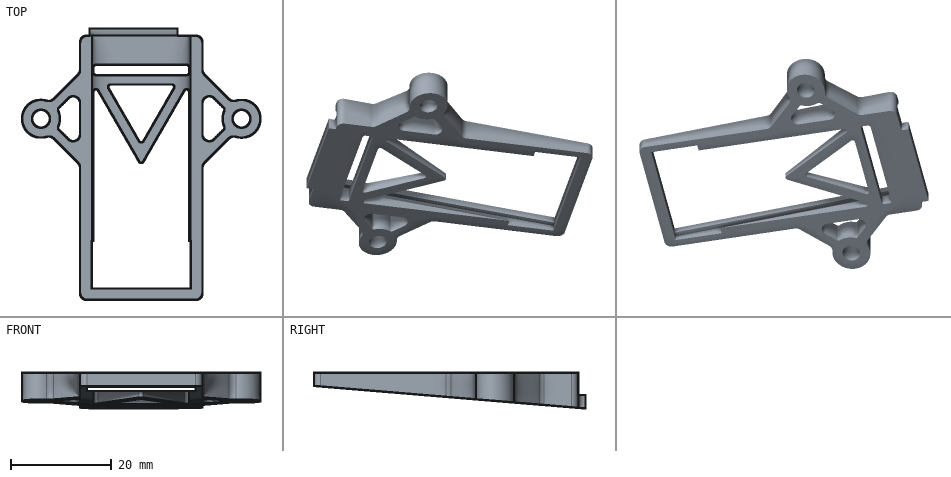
import cadquery as cq
import math

total_length = 54.1
front_height = 2.65
rear_height = 7.15

frame_length = 52.65
frame_width = 24.4
opening_width = 19.7
front_bar = 2.3
corner_radius = 1.35

groove_width = 21.55
lip_thickness = 1.5
floor_depth = 3.6

ledge_opening_width = 19.05
slot_front = 44.8
slot_rear = 46.8
triangle_base_y = 42.9
triangle_width = 13.85
brace_width = 2.05
floor_radius = 0.5

tab_left = -10.35
tab_width = 17.6
tab_depth = 4.45

hole_x = 19.95
ear_y = 36.1
hole_diameter = 3.5
ring_radius = 3.8
arm_half_base = 9.2
arm_width = 2.0
ear_fillet = 1.35
pocket_tip_radius = 0.5

ear_overlap = 1.1
margin = 0.55


def block(x_min, x_max, y_min, y_max, z_min, z_max):
    size = (x_max - x_min, y_max - y_min, z_max - z_min)
    return cq.Workplane("XY").box(*size, centered=False).translate((x_min, y_min, z_min))


def prism(points, z_min=-rear_height, z_max=0):
    return cq.Workplane("XY").workplane(offset=z_min).polyline(points).close().extrude(z_max - z_min)


def near(x_min, x_max, y_min, y_max):
    """Select vertical edges whose centers lie inside a rectangle."""
    return cq.selectors.BoxSelector(
        (x_min, y_min, -rear_height), (x_max, y_max, rear_height)
    )


def ring_cylinder():
    return cq.Workplane("XY").center(hole_x, ear_y).circle(ring_radius).extrude(-rear_height)


def right_ear():
    """45-degree triangular arms that meet a round boss."""
    root_x = frame_width / 2
    inner_x = root_x - ear_overlap
    inner_half = arm_half_base + ear_overlap
    wedge = prism([
        (inner_x, ear_y - inner_half),
        (inner_x, ear_y + inner_half),
        (root_x + arm_half_base, ear_y),
    ])
    return wedge.union(ring_cylinder())


def right_pocket():
    """Opening between the arms, bounded outside by the boss circle."""
    root_x = frame_width / 2
    half_base = arm_half_base - arm_width * math.sqrt(2)
    pocket = prism([
        (root_x, ear_y - half_base),
        (root_x, ear_y + half_base),
        (root_x + half_base, ear_y),
    ]).cut(ring_cylinder())
    at_rail = near(root_x - margin, root_x + margin, 0, total_length)
    at_boss = near(root_x + margin, hole_x, 0, total_length)
    pocket = pocket.edges("|Z").edges(at_rail).fillet(ear_fillet)
    return pocket.edges("|Z").edges(at_boss).fillet(pocket_tip_radius)


def both_sides(solid):
    return solid.union(solid.mirror("YZ"))


def outer_body():
    body = block(-frame_width / 2, frame_width / 2, 0, frame_length, -rear_height, 0)
    body = body.edges("|Z").fillet(corner_radius)
    body = body.union(both_sides(right_ear()))
    for side in (-1, 1):
        x_low, x_high = sorted((side * (frame_width / 2 - margin), side * hole_x))
        joints = near(x_low, x_high, ear_y - arm_half_base - margin, ear_y + arm_half_base + margin)
        body = body.edges("|Z").edges(joints).fillet(ear_fillet)
    holes = (
        cq.Workplane("XY")
        .pushPoints([(-hole_x, ear_y), (hole_x, ear_y)])
        .circle(hole_diameter / 2)
        .extrude(-rear_height)
    )
    return body.cut(both_sides(right_pocket())).cut(holes)


def cut_channel(body):
    """Open the frame down to the floor and undercut the lips."""
    half_open = opening_width / 2
    half_groove = groove_width / 2
    opening = block(-half_open, half_open, front_bar, total_length, -floor_depth, 0)
    groove = block(-half_groove, half_groove, front_bar, total_length, -floor_depth, -lip_thickness)
    return body.cut(opening).cut(groove)


def floor_cutouts():
    """Rear slot, and the open area in front of it around a triangular brace."""
    half_ledge = ledge_opening_width / 2
    leg_slope = math.sqrt(3)
    window_tip_y = triangle_base_y - leg_slope * triangle_width / 2
    brace_tip_y = window_tip_y - 2 * brace_width
    brace_root_y = brace_tip_y + leg_slope * half_ledge

    slot = block(-half_ledge, half_ledge, slot_front, slot_rear, -rear_height, -floor_depth)
    slot = slot.edges("|Z").fillet(floor_radius)
    window = prism([
        (-triangle_width / 2, triangle_base_y),
        (triangle_width / 2, triangle_base_y),
        (0, window_tip_y),
    ], z_max=-floor_depth).edges("|Z").fillet(floor_radius)
    front_area = prism([
        (-half_ledge, front_bar),
        (half_ledge, front_bar),
        (half_ledge, brace_root_y),
        (0, brace_tip_y),
        (-half_ledge, brace_root_y),
    ], z_max=-floor_depth)
    brace_corners = near(-half_ledge - margin, half_ledge + margin, brace_tip_y - margin, brace_root_y + margin)
    front_area = front_area.edges("|Z").edges(brace_corners).fillet(floor_radius)
    return slot.union(window).union(front_area)


def sloped_envelope():
    """Side profile whose underside falls evenly from front to rear."""
    return (
        cq.Workplane("YZ")
        .polyline([(0, 0), (total_length, 0), (total_length, -rear_height), (0, -front_height)])
        .close()
        .extrude(hole_x + ring_radius + margin, both=True)
    )


tab = block(tab_left, tab_left + tab_width, slot_rear, total_length, -rear_height, -tab_depth)

result = cut_channel(outer_body()).cut(floor_cutouts()).union(tab).intersect(sloped_envelope())